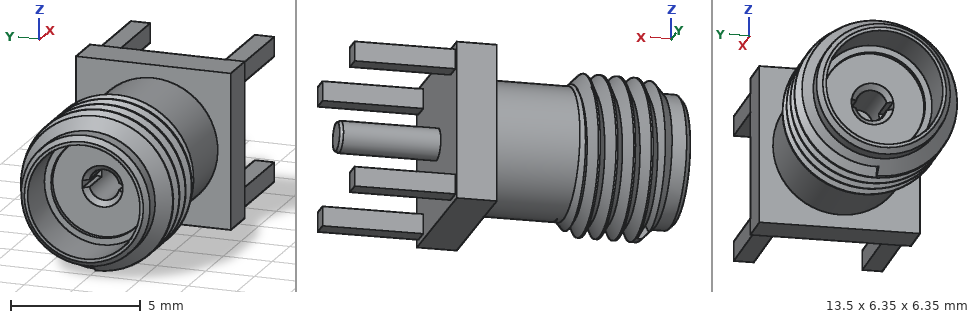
import cadquery as cq
import math

TOTAL_LENGTH = 13.48
FLANGE_SIZE = 6.35
FLANGE_THICKNESS = 1.59
LEG_LENGTH = 4.0

BARREL_RADIUS = 2.64
NOSE_CHAMFER = 0.2
NOSE_LENGTH = 0.78
THREAD_RADIUS = FLANGE_SIZE / 2
THREAD_END = 4.45

THREAD_PITCH = 0.7
THREAD_TURNS = 5
THREAD_HALF_ANGLE = 30.0
GROOVE_START = 1.19
GROOVE_ROOT_RADIUS = 2.63
GROOVE_OVERCUT = 0.04

BORE_RADIUS = 2.3
BORE_DEPTH = 1.9
RECESS_RADIUS = 2.04
RECESS_DEPTH = 0.2

CONTACT_RADIUS = 0.84
CONTACT_HOLE_RADIUS = 0.62
CONTACT_HOLE_DEPTH = 2.7
SLOT_WIDTH = 0.3
SLOT_DEPTH = 1.62

LEG_SIZE = 0.8
LEG_SPACING = 5.08
PIN_RADIUS = 0.63
PIN_CHAMFER_LENGTH = 0.13
PIN_CHAMFER_DEPTH = 0.07

flange_back = TOTAL_LENGTH - LEG_LENGTH
flange_front = flange_back - FLANGE_THICKNESS
contact_face = BORE_DEPTH + RECESS_DEPTH


def revolve_about_x(points):
    """Revolve a closed outline of (x, radius) points, drawn in the XZ plane, about the X axis."""
    return cq.Workplane("XZ").polyline(points).close().revolve(360, (0, 0, 0), (1, 0, 0))


def barrel():
    """Nose, raised band for the thread with 45 degree ends, and plain neck."""
    rise = THREAD_RADIUS - BARREL_RADIUS
    return revolve_about_x([
        (0, 0),
        (0, BARREL_RADIUS - NOSE_CHAMFER),
        (NOSE_CHAMFER, BARREL_RADIUS),
        (NOSE_LENGTH, BARREL_RADIUS),
        (NOSE_LENGTH + rise, THREAD_RADIUS),
        (THREAD_END - rise, THREAD_RADIUS),
        (THREAD_END, BARREL_RADIUS),
        (flange_front, BARREL_RADIUS),
        (flange_front, 0),
    ])


def thread_groove():
    """Right-hand V groove, starting at the -Z side and advancing along +X."""
    outer_radius = THREAD_RADIUS + GROOVE_OVERCUT
    half_width = (outer_radius - GROOVE_ROOT_RADIUS) * math.tan(math.radians(THREAD_HALF_ANGLE))
    helix = cq.Wire.makeHelix(THREAD_PITCH, THREAD_PITCH * THREAD_TURNS, GROOVE_ROOT_RADIUS)
    groove = (
        cq.Workplane("XZ")
        .polyline([(GROOVE_ROOT_RADIUS, 0), (outer_radius, half_width), (outer_radius, -half_width)])
        .close()
        .sweep(cq.Workplane(obj=helix), isFrenet=True)
    )
    return groove.rotate((0, 0, 0), (0, 1, 0), 90).translate((GROOVE_START, 0, 0))


def socket():
    """Stepped bore open at the mating face."""
    bore = cq.Workplane("YZ").circle(BORE_RADIUS).extrude(BORE_DEPTH)
    return bore.union(cq.Workplane("YZ").circle(RECESS_RADIUS).extrude(contact_face))


def contact_opening():
    """Countersunk contact hole with a slot across it, both within the contact radius."""
    flare = CONTACT_RADIUS - CONTACT_HOLE_RADIUS
    hole = revolve_about_x([
        (contact_face, 0),
        (contact_face, CONTACT_RADIUS),
        (contact_face + flare, CONTACT_HOLE_RADIUS),
        (contact_face + CONTACT_HOLE_DEPTH, CONTACT_HOLE_RADIUS),
        (contact_face + CONTACT_HOLE_DEPTH, 0),
    ])
    face = cq.Workplane("YZ", origin=(contact_face, 0, 0))
    slot = face.rect(2 * CONTACT_RADIUS, SLOT_WIDTH).extrude(SLOT_DEPTH)
    return hole.union(slot.intersect(face.circle(CONTACT_RADIUS).extrude(SLOT_DEPTH)))


def flange():
    """Square mounting flange behind the barrel."""
    face = cq.Workplane("YZ", origin=(flange_front, 0, 0))
    return face.rect(FLANGE_SIZE, FLANGE_SIZE).extrude(FLANGE_THICKNESS)


def legs():
    """Four square legs, one near each flange corner."""
    return (
        cq.Workplane("YZ", origin=(flange_back, 0, 0))
        .rarray(LEG_SPACING, LEG_SPACING, 2, 2)
        .rect(LEG_SIZE, LEG_SIZE)
        .extrude(LEG_LENGTH)
    )


def centre_pin():
    """Round pin on the connector axis with a chamfered tip."""
    return revolve_about_x([
        (flange_back, 0),
        (flange_back, PIN_RADIUS),
        (TOTAL_LENGTH - PIN_CHAMFER_LENGTH, PIN_RADIUS),
        (TOTAL_LENGTH, PIN_RADIUS - PIN_CHAMFER_DEPTH),
        (TOTAL_LENGTH, 0),
    ])


threaded_barrel = barrel().cut(thread_groove())
body = threaded_barrel.union(flange()).cut(socket()).cut(contact_opening())
result = body.union(legs()).union(centre_pin())